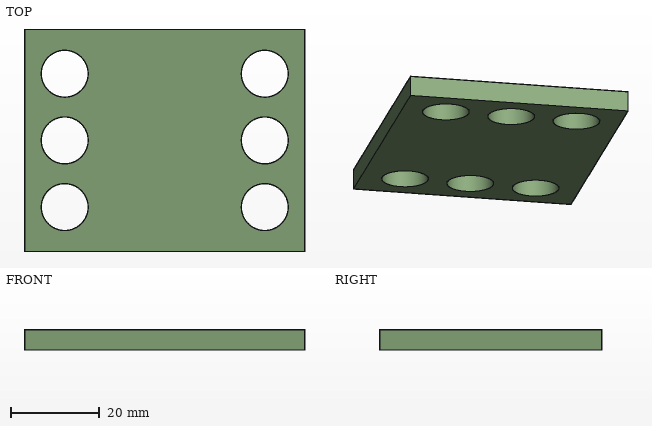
import cadquery as cq

plate_length = 63.0
plate_width = 50.0
plate_thickness = 4.6

hole_diameter = 10.5
hole_columns = 2
hole_rows = 3
column_spacing = 45.0
row_spacing = 15.0


def make_plate():
    """Plain rectangular plate, centred on the origin in X and Y, resting on Z = 0."""
    return cq.Workplane("XY").box(
        plate_length, plate_width, plate_thickness, centered=(True, True, False)
    )


def drill_holes(plate):
    """Drill the grid of holes through the full thickness."""
    return (
        plate.faces(">Z")
        .workplane(origin=(0, 0, plate_thickness))
        .rarray(column_spacing, row_spacing, hole_columns, hole_rows)
        .hole(hole_diameter)
    )


result = drill_holes(make_plate())